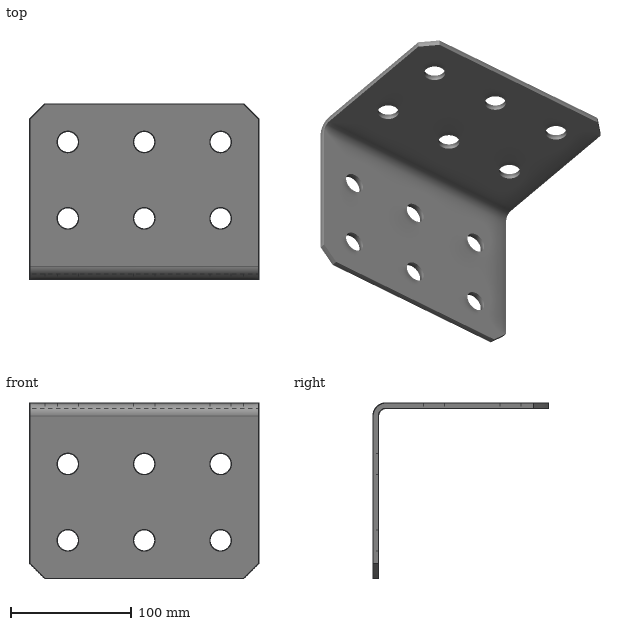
import cadquery as cq

length = 190.5
leg = 146.1
thickness = 4.8
outer_bend_radius = 11.0
corner_chamfer = 12.5
hole_diameter = 17.5
columns = 3
rows = 2

inner_bend_radius = outer_bend_radius - thickness
pitch = length / columns
edge_distance = pitch / 2


def bent_sheet():
    """L-shaped sheet with its outer bend corner at Y = 0, Z = 0, centred on X."""
    sheet = (
        cq.Workplane("YZ")
        .moveTo(0, 0)
        .lineTo(leg, 0)
        .lineTo(leg, -thickness)
        .lineTo(thickness, -thickness)
        .lineTo(thickness, -leg)
        .lineTo(0, -leg)
        .close()
        .extrude(length / 2, both=True)
    )
    outer_corner = cq.selectors.NearestToPointSelector((0, 0, 0))
    inner_corner = cq.selectors.NearestToPointSelector((0, thickness, -thickness))
    sheet = sheet.edges("|X").edges(outer_corner).fillet(outer_bend_radius)
    return sheet.edges("|X").edges(inner_corner).fillet(inner_bend_radius)


def chamfer_free_corners(sheet):
    """Cut the two corners at the free end of each leg."""
    sheet = sheet.faces(">Y").edges("|Z").chamfer(corner_chamfer)
    return sheet.faces("<Z").edges("|Y").chamfer(corner_chamfer)


def hole_cutters(plane, direction):
    """Hole grid in one leg; direction points from the bend to the free edge."""
    row_centre = direction * (leg - edge_distance - (rows - 1) * pitch / 2)
    return (
        cq.Workplane(plane)
        .center(0, row_centre)
        .rarray(pitch, pitch, columns, rows)
        .circle(hole_diameter / 2)
        .extrude(-thickness)
    )


result = chamfer_free_corners(bent_sheet())
result = result.cut(hole_cutters("XY", 1))
result = result.cut(hole_cutters("XZ", -1))